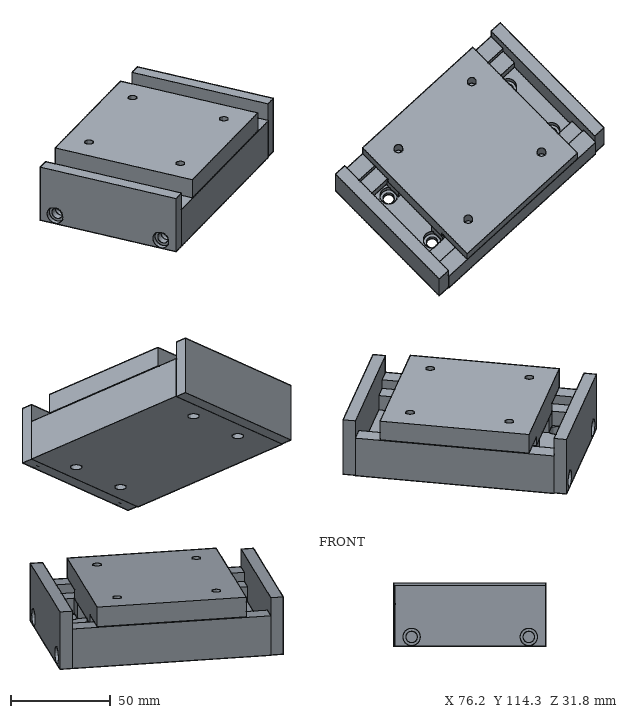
import cadquery as cq


stage_width = 76.2
stage_length = 114.3
stage_height = 31.8

plate_thickness = 6.4
base_length = stage_length - 2 * plate_thickness
base_height = 21.0
wall_thickness = 8.8
floor_thickness = 8.2
channel_width = stage_width - 2 * wall_thickness

rail_width = 8.3
rail_height = 8.0
rail_gap = 0.7
running_clearance = 0.3
outer_rail_x = channel_width / 2 - rail_width / 2
inner_rail_x = outer_rail_x - rail_width - rail_gap

table_length = stage_width
slab_bottom = base_height + running_clearance
block_width = 39.1
inner_rail_bottom = floor_thickness + running_clearance
block_bottom = inner_rail_bottom + rail_height
table_hole_diameter = 4.3
table_hole_spacing = 50.7

mount_spacing_x = 31.7
mount_spacing_y = 82.5
mount_counterbore_depth = 4.6

screw_hole_diameter = 5.7
counterbore_diameter = 8.7

plate_width = 75.5
plate_height = 30.5
front_plate_x = (stage_width - plate_width) / 2
plate_hole_spacing = 58.8
plate_hole_height = 4.7
plate_hole_x = 0.2
plate_counterbore_depth = 2.5
base_end_hole_depth = 9.1


def block(width, length, bottom, top):
    """Box centred on X and Y between two heights."""
    return (
        cq.Workplane("XY")
        .workplane(offset=bottom)
        .rect(width, length)
        .extrude(top - bottom)
    )


def plate_hole_centres(workplane):
    """Add the two end screw positions to a plane facing -Y."""
    half_spacing = plate_hole_spacing / 2
    return workplane.pushPoints(
        [(plate_hole_x + side * half_spacing, plate_hole_height) for side in (-1, 1)]
    )


def make_mount_holes():
    """Cutter for the four mounting holes, counterbored from the channel floor."""
    top = (
        cq.Workplane("XY")
        .workplane(offset=floor_thickness)
        .rect(mount_spacing_x, mount_spacing_y, forConstruction=True)
        .vertices()
    )
    holes = top.circle(screw_hole_diameter / 2).extrude(-floor_thickness)
    counterbores = top.circle(counterbore_diameter / 2).extrude(-mount_counterbore_depth)
    return holes.union(counterbores)


def make_base():
    """U-shaped channel with mounting holes in the floor and screw holes in its front end."""
    body = block(stage_width, base_length, 0, base_height)
    channel = block(channel_width, base_length, floor_thickness, base_height)
    front_end = cq.Workplane("XZ", origin=(0, -base_length / 2, 0))
    end_holes = (
        plate_hole_centres(front_end)
        .circle(screw_hole_diameter / 2)
        .extrude(-base_end_hole_depth)
    )
    return body.cut(channel).cut(end_holes).cut(make_mount_holes())


def make_table():
    """Square slab on a narrower block, with four plain holes through the slab."""
    slab = block(stage_width, table_length, slab_bottom, stage_height)
    lower_block = block(block_width, table_length, block_bottom, slab_bottom)
    holes = (
        cq.Workplane("XY")
        .workplane(offset=slab_bottom)
        .rect(table_hole_spacing, table_hole_spacing, forConstruction=True)
        .vertices()
        .circle(table_hole_diameter / 2)
        .extrude(stage_height - slab_bottom)
    )
    return slab.union(lower_block).cut(holes)


def make_rail(x, length, bottom):
    """Rectangular rail running along Y."""
    return block(rail_width, length, bottom, bottom + rail_height).translate((x, 0, 0))


def make_end_plate(x, side):
    """Plain plate closing one end of the base; side is -1 for front, 1 for back."""
    y = side * (base_length + plate_thickness) / 2
    return block(plate_width, plate_thickness, 0, plate_height).translate((x, y, 0))


def make_front_plate():
    """Front end plate with two counterbored screw holes."""
    plate = make_end_plate(front_plate_x, -1)
    face = cq.Workplane("XZ", origin=(0, -stage_length / 2, 0))
    holes = plate_hole_centres(face).circle(screw_hole_diameter / 2).extrude(-plate_thickness)
    counterbores = (
        plate_hole_centres(face).circle(counterbore_diameter / 2).extrude(-plate_counterbore_depth)
    )
    return plate.cut(holes).cut(counterbores)


base = make_base()
table = make_table()
front_plate = make_front_plate()
back_plate = make_end_plate(0, 1)
outer_rails = [make_rail(side * outer_rail_x, base_length, floor_thickness) for side in (-1, 1)]
inner_rails = [make_rail(side * inner_rail_x, table_length, inner_rail_bottom) for side in (-1, 1)]

result = cq.Compound.makeCompound(
    [body.val() for body in [base, table, front_plate, back_plate, *outer_rails, *inner_rails]]
)